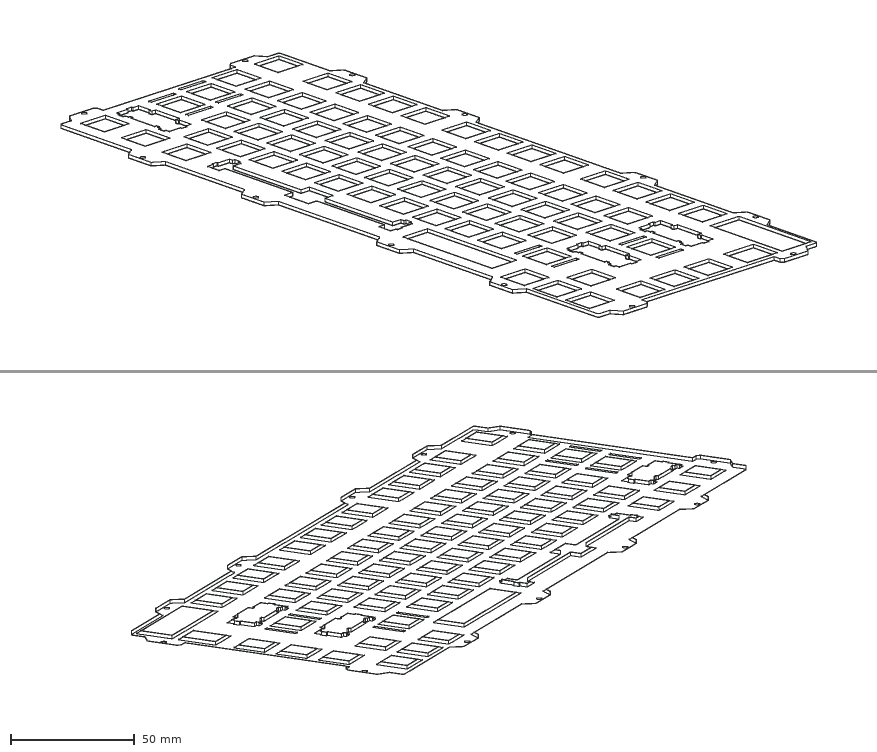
import cadquery as cq

overall_x = 323.5
overall_y = 133.0
thickness = 1.6
tab_reach_x = 4.5
tab_reach_y = 5.0
body_x = overall_x - 2 * tab_reach_x
body_y = overall_y - 2 * tab_reach_y
corner_radius = 1.0

columns_span = 295.2
last_column = 15.5
pitch = columns_span / last_column
first_column_x = -columns_span / 2
number_row_y = 28.5
space_row_y = number_row_y - 4 * pitch
function_row_y = 52.0
cutout = 14.0

tab_key = (0.25, 3)
backslash_key = (13.75, 3)
caps_lock_key = (0.375, 2)
right_shift_key = (12.625, 1)
slotted_keys = (tab_key, backslash_key, caps_lock_key, right_shift_key)
backspace_key = (13.5, 4)
enter_key = (13.375, 2)
left_shift_key = (0.625, 1)
space_key = (6.375, 0)

tab_top_length = 13.3
tab_base_length = 19.7
tab_hole_diameter = 2.2
tab_hole_inset = 1.78
back_tab_offsets = (52.0, 117.7)
front_tab_offsets = (39.5, 105.5)
side_tab_y = 45.3
side_tab_inner_end = 8.0
side_tab_chamfer = 1.3

slot_width = 1.5
slot_gap = 3.07
slot_offset = cutout / 2 + slot_gap + slot_width / 2

stabilizer_short_offset = 0.625 * pitch
stabilizer_long_offset = 2.625 * pitch
pocket_width = 6.8
pocket_top = 5.5
pocket_bottom = 6.8
foot_width = 3.0
foot_depth = 1.2
notch_depth = 0.8
notch_top = 2.3
notch_bottom = 0.5
link_top = 5.0
link_bottom = 5.8
long_link_height = 4.5

corner_window_x = 42.0
corner_window_y = 16.2
corner_window_margin = 1.3
corner_window_top = function_row_y + cutout / 2 + corner_window_margin
tall_window_y = 16.8
tall_window_centre_y = 33.0
three_key_window_column = 11


def column_x(column):
    return first_column_x + column * pitch


def row_y(row):
    """Row 0 is the space bar row; rows are counted toward +Y."""
    return space_row_y + row * pitch


def box(x_min, x_max, y_min, y_max):
    return (
        cq.Workplane("XY")
        .box(x_max - x_min, y_max - y_min, thickness)
        .translate(((x_min + x_max) / 2, (y_min + y_max) / 2, 0))
    )


def centred_box(x, y, size_x, size_y):
    return box(x - size_x / 2, x + size_x / 2, y - size_y / 2, y + size_y / 2)


def prism(points):
    return cq.Workplane("XY").polyline(points).close().extrude(thickness / 2, both=True)


def edge_tab(x):
    """Trapezoidal tab on the +Y edge, centred at x."""
    edge_y = body_y / 2
    return prism([
        (x - tab_base_length / 2, edge_y),
        (x - tab_top_length / 2, edge_y + tab_reach_y),
        (x + tab_top_length / 2, edge_y + tab_reach_y),
        (x + tab_base_length / 2, edge_y),
    ])


def side_tab():
    """Tab on the +X edge near the +Y end, with its inner end cut square."""
    edge_x = body_x / 2
    outer_x = overall_x / 2
    inner_y = side_tab_y - side_tab_inner_end
    return prism([
        (edge_x, side_tab_y + tab_base_length / 2),
        (outer_x, side_tab_y + tab_top_length / 2),
        (outer_x, inner_y + side_tab_chamfer),
        (outer_x - side_tab_chamfer, inner_y),
        (edge_x, inner_y),
    ])


def make_blank():
    blank = cq.Workplane("XY").box(body_x, body_y, thickness)
    blank = blank.edges("|Z").fillet(corner_radius)
    hole_points = []

    hole_y = overall_y / 2 - tab_hole_inset
    for side in (-1, 1):
        for offset in back_tab_offsets:
            blank = blank.union(edge_tab(side * offset))
            hole_points.append((side * offset, hole_y))
        for offset in front_tab_offsets:
            blank = blank.union(edge_tab(side * offset).mirror("XZ"))
            hole_points.append((side * offset, -hole_y))

    hole_x = overall_x / 2 - tab_hole_inset
    right_tabs = side_tab().union(side_tab().mirror("XZ"))
    blank = blank.union(right_tabs).union(right_tabs.mirror("YZ"))
    for x in (-hole_x, hole_x):
        for y in (-side_tab_y, side_tab_y):
            hole_points.append((x, y))

    holes = cq.Workplane("XY").pushPoints(hole_points).circle(tab_hole_diameter / 2)
    return blank.cut(holes.extrude(thickness, both=True))


def key_centres():
    """Centres of all plain square key cutouts."""
    function_columns = [0, 1.5, 2.5, 3.5, 4.5, 5.75, 6.75, 7.75, 8.75, 10, 11, 12, 13]
    centres = [(column_x(column), function_row_y) for column in function_columns]
    row_columns = {
        4: list(range(13)),
        3: [1.5 + i for i in range(12)] + [last_column],
        2: [1.75 + i for i in range(11)] + [last_column],
        1: [2.25 + i for i in range(10)] + [last_column],
        0: [0.125, 1.375, 2.625],
        0.75: [14.25],
        -0.25: [13.25, 14.25, 15.25],
    }
    for row, columns in row_columns.items():
        centres += [(column_x(column), row_y(row)) for column in columns]
    for column, row in slotted_keys:
        centres.append((column_x(column), row_y(row)))
    return centres


def key_cutouts():
    return cq.Workplane("XY").pushPoints(key_centres()).box(cutout, cutout, thickness)


def relief_slots():
    slots = cq.Workplane("XY")
    for column, row in slotted_keys:
        for side in (-1, 1):
            x = column_x(column) + side * slot_offset
            slots = slots.add(centred_box(x, row_y(row), slot_width, cutout))
    return slots


def stabilizer_pocket(offset):
    """Pocket on the +X side of a key at the origin, with a foot and an outer notch."""
    outer_x = offset + pocket_width / 2
    pocket = box(offset - pocket_width / 2, outer_x, -pocket_bottom, pocket_top)
    foot_end = -pocket_bottom - foot_depth
    foot = box(offset - foot_width / 2, offset + foot_width / 2, foot_end, 0)
    notch = box(offset, outer_x + notch_depth, -notch_bottom, notch_top)
    return pocket.union(foot).union(notch)


def stabilizer_opening(offset, link_min, link_max):
    """Key cutout at the origin joined by a link to a pocket on each side."""
    pocket = stabilizer_pocket(offset)
    link = box(-offset, offset, link_min, link_max)
    key = centred_box(0, 0, cutout, cutout)
    return key.union(link).union(pocket).union(pocket.mirror("YZ"))


def stabilizer_openings():
    short = stabilizer_opening(stabilizer_short_offset, -link_bottom, link_top)
    space = stabilizer_opening(stabilizer_long_offset, -long_link_height / 2, long_link_height / 2)
    space_column, space_row = space_key
    openings = space.mirror("XZ").translate((column_x(space_column), row_y(space_row), 0))
    for column, row in (backspace_key, enter_key, left_shift_key):
        openings = openings.union(short.translate((column_x(column), row_y(row), 0)))
    return openings


def large_windows():
    right_x = column_x(last_column) + cutout / 2
    corner = box(
        right_x - corner_window_x, right_x, corner_window_top - corner_window_y, corner_window_top
    )
    tall = centred_box(column_x(last_column), tall_window_centre_y, cutout, tall_window_y)
    three_keys = centred_box(column_x(three_key_window_column), row_y(0), 2 * pitch + cutout, cutout)
    return corner.union(tall).union(three_keys)


result = (
    make_blank()
    .cut(key_cutouts())
    .cut(relief_slots())
    .cut(stabilizer_openings())
    .cut(large_windows())
)